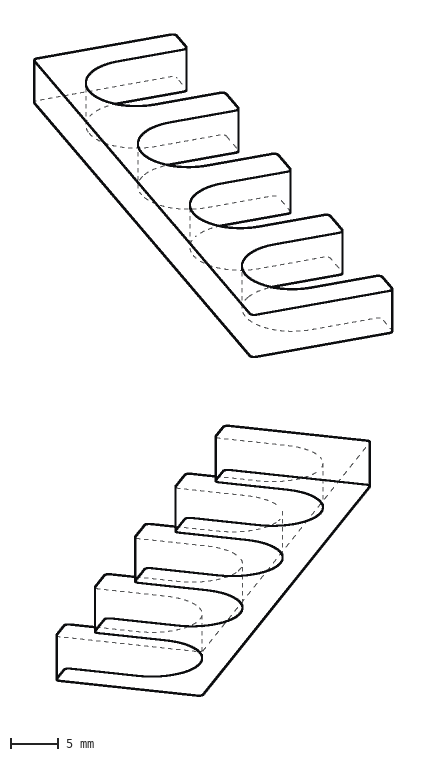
import cadquery as cq

length = 63.0
depth = 16.0
height = 5.0

slot_count = 4
slot_pitch = 15.0
slot_width = 10.6
floor_thickness = 2.85
corner_radius = 0.5

slot_radius = slot_width / 2
arc_center_y = floor_thickness + slot_radius - depth / 2


def make_slot(center_x):
    """Cutter with a semicircular bottom and straight sides reaching the back edge."""
    left = center_x - slot_radius
    right = center_x + slot_radius
    return (
        cq.Workplane("XY")
        .moveTo(left, depth / 2)
        .lineTo(left, arc_center_y)
        .threePointArc((center_x, arc_center_y - slot_radius), (right, arc_center_y))
        .lineTo(right, depth / 2)
        .close()
        .extrude(height)
    )


rack = cq.Workplane("XY").box(length, depth, height, centered=(True, True, False))

for index in range(slot_count):
    slot_x = (index - (slot_count - 1) / 2) * slot_pitch
    rack = rack.cut(make_slot(slot_x))

tip_edges = rack.faces(">Y").edges("|Z")
front_edges = rack.faces("<Y").edges("|Z")
result = tip_edges.add(front_edges).fillet(corner_radius)